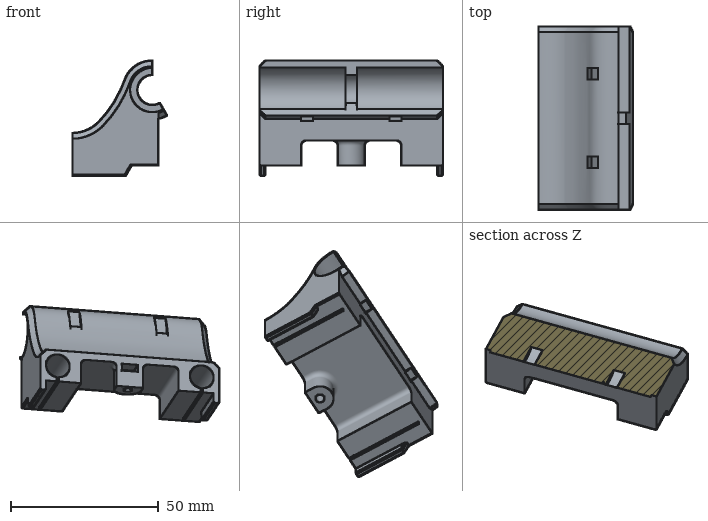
import cadquery as cq
import math

length = 62.0
overall_x = 32.0
overall_z = 39.0
back_x = 29.1
front_height = 14.5
floor_z = 3.4

head_r = 10.0
bearing_r = 7.5
stop_r = 5.0
stop_width = 3.85
lip_angle = -60.0
head_x = overall_x - head_r * math.cos(math.radians(lip_angle))
head_z = overall_z - head_r

toe_r = 12.4
sweep_r = 38.45
end_chamfer = 2.0

skirt_thickness = 2.0
skirt_bottom_x = 18.0
skirt_top_x = 19.95
skirt_chamfer = 0.45

channel_outer_y = 16.85
channel_top_z = 11.9
channel_fillet = 1.75
post_r = 4.6
screw_x = 3.2
screw_d = 3.0
nut_width = 5.6
nut_bottom_z = 9.05
nut_top_z = 11.55

rod_y = 24.9
rod_z = 9.0
rod_d = 8.2
rod_end_wall = 2.0
slit_width = 0.8

tie_y = 14.95
tie_width = 3.9
tie_inner_r = 9.0
tie_outer_r = 10.5
tie_entry_angle = 159.0
tie_run = 9.9

pick_margin = 0.05


def polar(center, radius, degrees):
    angle = math.radians(degrees)
    return (center[0] + radius * math.cos(angle), center[1] + radius * math.sin(angle))


def direction(start, end):
    return math.degrees(math.atan2(end[1] - start[1], end[0] - start[0]))


def along_y(width, y=0.0):
    """XZ sketch plane whose extrusion by the given width ends up centred on y."""
    return cq.Workplane("XZ", origin=(0, y + width / 2, 0))


def cylinder_y(radius, width):
    return along_y(width).center(*head).circle(radius).extrude(width)


def block(x0, x1, y0, y1, z0, z1):
    return cq.Workplane("XY").box(x1 - x0, y1 - y0, z1 - z0, centered=False).translate((x0, y0, z0))


def edges_in(half_y, z0, z1):
    """Selector for edges centred strictly between the front and rear walls."""
    return cq.selectors.BoxSelector((pick_margin, -half_y, z0), (back_x - pick_margin, half_y, z1))


head = (head_x, head_z)
toe = (0.0, front_height + toe_r)

to_toe = sweep_r - toe_r
to_head = sweep_r + head_r
axis_distance = math.dist(toe, head)
cos_offset = (to_toe**2 + axis_distance**2 - to_head**2) / (2 * to_toe * axis_distance)
sweep = polar(toe, to_toe, direction(toe, head) + math.degrees(math.acos(cos_offset)))

toe_end_angle = direction(sweep, toe)
head_join_angle = direction(sweep, head)
toe_end = polar(sweep, sweep_r, toe_end_angle)
head_join = polar(sweep, sweep_r, head_join_angle)
toe_mid = polar(toe, toe_r, (toe_end_angle - 90) / 2)
sweep_mid = polar(sweep, sweep_r, (toe_end_angle + head_join_angle) / 2)


def make_base():
    base = (
        along_y(length)
        .moveTo(0, front_height)
        .threePointArc(toe_mid, toe_end)
        .threePointArc(sweep_mid, head_join)
        .lineTo(*head)
        .lineTo(back_x, head_z - bearing_r)
        .lineTo(back_x, floor_z)
        .lineTo(skirt_top_x, floor_z)
        .lineTo(skirt_bottom_x, 0)
        .lineTo(0, 0)
        .close()
        .extrude(length)
    )
    base = base.faces("<Y or >Y").edges("%CIRCLE").chamfer(end_chamfer)
    lower_edges = edges_in(length, -pick_margin, floor_z + pick_margin)
    base = base.faces("<Y or >Y").edges(lower_edges).chamfer(skirt_chamfer)

    inner_y = length / 2 - skirt_thickness
    base = base.cut(block(0, back_x, -inner_y, inner_y, 0, floor_z))
    inner_edges = edges_in(inner_y + pick_margin, -pick_margin, floor_z - pick_margin)
    return base.edges("not(|Y)").edges(inner_edges).chamfer(skirt_chamfer)


def make_head():
    return cylinder_y(head_r, length).edges("%CIRCLE").chamfer(end_chamfer)


def head_opening():
    reach = 2 * head_r
    return (
        along_y(length)
        .polyline([head, (head_x, head_z + reach), (head_x + reach, head_z + reach),
                   polar(head, reach / math.cos(math.radians(-lip_angle)), lip_angle)])
        .close()
        .extrude(length)
    )


def bearing_seat():
    stop = cylinder_y(bearing_r, stop_width).cut(cylinder_y(stop_r, stop_width))
    return cylinder_y(bearing_r, length).cut(stop)


def channels():
    trough = block(0, back_x, -channel_outer_y, channel_outer_y, 0, channel_top_z)
    post = block(0, screw_x, -post_r, post_r, 0, channel_top_z).union(
        cq.Workplane("XY").center(screw_x, 0).circle(post_r).extrude(channel_top_z)
    )
    trough = trough.cut(post)
    roof_edges = edges_in(length, channel_top_z - pick_margin, channel_top_z + pick_margin)
    return trough.edges(roof_edges).fillet(channel_fillet)


def nut_trap():
    half = nut_width / 2
    pocket = block(0, screw_x + half, -half, half, nut_bottom_z, nut_top_z)
    hole = cq.Workplane("XY").center(screw_x, 0).circle(screw_d / 2).extrude(nut_top_z)
    return pocket.union(hole)


def rod_socket(y):
    depth = back_x - rod_end_wall
    bore = cq.Workplane("YZ").center(y, rod_z).circle(rod_d / 2).extrude(depth)
    return bore.union(block(0, depth, y - slit_width / 2, y + slit_width / 2, 0, rod_z))


def tie_tunnel(y):
    entry = polar(head, tie_inner_r, tie_entry_angle)
    entry_top = polar(entry, tie_run, tie_entry_angle - 90)
    middle_angle = (tie_entry_angle + 270) / 2
    outer_start = polar(head, tie_outer_r, tie_entry_angle)
    return (
        along_y(tie_width, y)
        .moveTo(*entry_top)
        .lineTo(*entry)
        .threePointArc(polar(head, tie_inner_r, middle_angle), (head_x, head_z - tie_inner_r))
        .lineTo(head_x + tie_run, head_z - tie_inner_r)
        .lineTo(head_x + tie_run, head_z - tie_outer_r)
        .lineTo(head_x, head_z - tie_outer_r)
        .threePointArc(polar(head, tie_outer_r, middle_angle), outer_start)
        .lineTo(*polar(outer_start, tie_run, tie_entry_angle - 90))
        .close()
        .extrude(tie_width)
    )


result = make_base().union(make_head()).cut(head_opening()).cut(bearing_seat())
result = result.cut(channels()).cut(nut_trap())
for side in (-1, 1):
    result = result.cut(rod_socket(side * rod_y)).cut(tie_tunnel(side * tie_y))